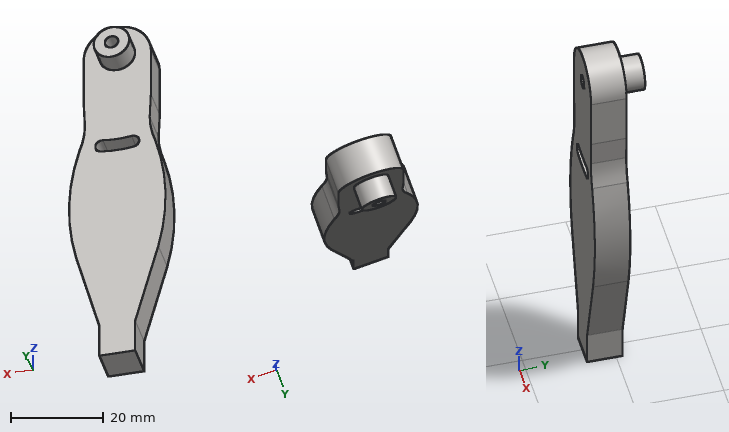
import cadquery as cq
import math

length = 87.5
thickness = 8.0

head_radius = 7.5
head_z = length - head_radius
peg_diameter = 8.0
peg_length = 5.1
hole_diameter = 3.0

belly_width = 21.6
shoulder_z = 68.2
neck_half_width = 7.3
neck_z = 62.1
neck_radius = 17.5
belly_top_z = 55.8
belly_half_width = belly_width / 2
belly_z = 40.2
belly_radius = 53.4
belly_bottom_z = 27.1
tail_half_width = 4.0
tail_length = 8.0

slot_radius = 24.0
slot_width = 3.0
slot_half_span = 4.9


def belly_x(z):
    """Half width of the belly arc at height z."""
    center_x = belly_half_width - belly_radius
    return center_x + math.sqrt(belly_radius**2 - (z - belly_z) ** 2)


def make_half_plate():
    """The +X half of the plate, closed along the symmetry plane."""
    belly_top = (belly_x(belly_top_z), belly_top_z)
    neck_chord = math.hypot(belly_top[0] - neck_half_width, neck_z - belly_top_z)
    neck_sagitta = neck_radius - math.sqrt(neck_radius**2 - (neck_chord / 2) ** 2)
    head_diagonal = head_radius * math.sqrt(0.5)
    return (
        cq.Workplane("XZ")
        .lineTo(tail_half_width, 0)
        .lineTo(tail_half_width, tail_length)
        .lineTo(belly_x(belly_bottom_z), belly_bottom_z)
        .threePointArc((belly_half_width, belly_z), belly_top)
        .sagittaArc((neck_half_width, neck_z), neck_sagitta)
        .lineTo(head_radius, shoulder_z)
        .lineTo(head_radius, head_z)
        .threePointArc((head_diagonal, head_z + head_diagonal), (0, length))
        .close()
        .extrude(-thickness)
    )


def make_slot(depth):
    """Arc-shaped slot with round ends, centred below the head hole."""
    end_radius = slot_width / 2
    half_angle = math.asin((slot_half_span - end_radius) / slot_radius)

    def polar(radius, angle):
        return (radius * math.sin(angle), head_z - radius * math.cos(angle))

    def round_end(angle, direction):
        tip_x, tip_z = polar(slot_radius, angle)
        return (
            tip_x + direction * end_radius * math.cos(angle),
            tip_z + direction * end_radius * math.sin(angle),
        )

    inner = slot_radius - end_radius
    outer = slot_radius + end_radius
    return (
        cq.Workplane("XZ")
        .moveTo(*polar(outer, -half_angle))
        .threePointArc(polar(outer, 0), polar(outer, half_angle))
        .threePointArc(round_end(half_angle, 1), polar(inner, half_angle))
        .threePointArc(polar(inner, 0), polar(inner, -half_angle))
        .threePointArc(round_end(-half_angle, -1), polar(outer, -half_angle))
        .close()
        .extrude(-depth)
    )


def make_head_cylinder(diameter, depth):
    """Cylinder on the head axis, from the front face toward +Y."""
    return cq.Workplane("XZ").center(0, head_z).circle(diameter / 2).extrude(-depth)


total_depth = thickness + peg_length
half_plate = make_half_plate()
plate = half_plate.union(half_plate.mirror("YZ"))
result = (
    plate.union(make_head_cylinder(peg_diameter, total_depth))
    .cut(make_head_cylinder(hole_diameter, total_depth))
    .cut(make_slot(thickness))
    .clean()
)